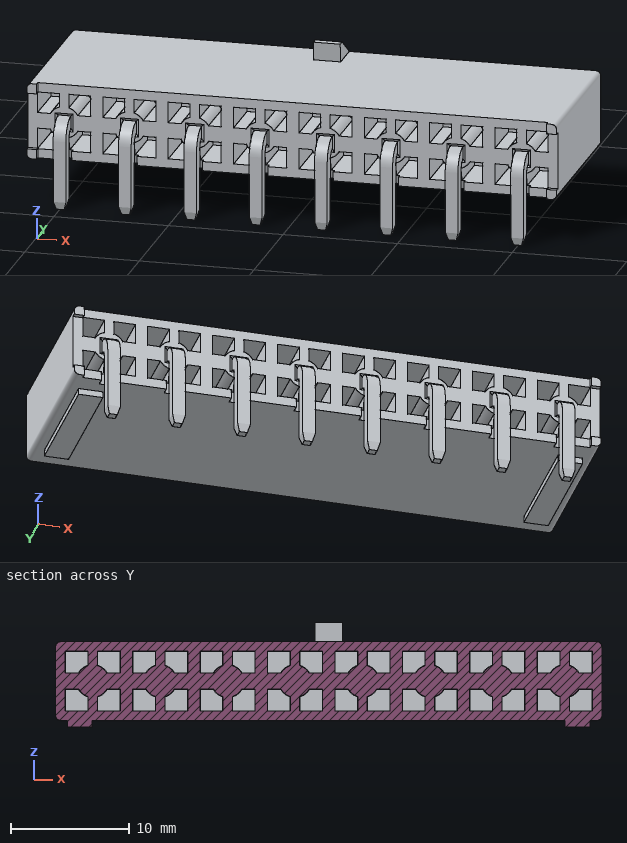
import cadquery as cq


housing_length = 46.25
housing_depth = 14.85
housing_height = 6.7
edge_radius = 0.45
ear_size = 0.9
ear_length = 0.4
wall = 0.85

pin_count = 8
pin_row_span = 39.9
pin_pitch = pin_row_span / (pin_count - 1)
pin_size = 1.1
pin_reach = 16.4
pin_bottom = -4.0
bend_outer_radius = 1.8
tip_length = 0.7
tip_size = 0.7
pin_anchor = 0.92

pocket_span = 4.62
web = 0.85
crossbar = 1.4
pocket_depth = 4.62
boss_radius = 1.4
lead_in_size = 1.55
lead_in_depth = 0.2
notch_width = 1.35
notch_depth = 0.7

latch_width = 2.35
latch_height = 1.6
latch_ramp_run = 2.5
latch_reach = 3.2
latch_undercut = 0.15

pad_inset = 1.0
pad_width = 2.15
pad_height = 0.55
pad_back = 2.1
pad_length = 10.85

pin_face = -housing_depth
mid_height = housing_height / 2
pin_xs = [(i - (pin_count - 1) / 2) * pin_pitch for i in range(pin_count)]


def box(x_min, x_max, y_min, y_max, z_min, z_max):
    size = (x_max - x_min, y_max - y_min, z_max - z_min)
    return cq.Workplane("XY").box(*size, centered=False).translate((x_min, y_min, z_min))


def pin_face_plane():
    """XZ sketch plane on the pin face; negative distances run into the housing."""
    return cq.Workplane("XZ", origin=(0, pin_face, 0))


def make_housing():
    """Round-edged block whose pin face is set back between four corner ears."""
    full_depth = housing_depth + ear_length
    half = housing_length / 2
    block = box(-half, half, -full_depth, 0, 0, housing_height).edges("|Y").fillet(edge_radius)
    across = box(-half, half, -full_depth, pin_face, ear_size, housing_height - ear_size)
    inner = half - ear_size
    between = box(-inner, inner, -full_depth, pin_face, 0, housing_height)
    return block.cut(across).cut(between)


def make_pockets(x):
    """Four core-out pockets left standing around a cross of ribs and a round boss."""
    pocket_back = pin_face + pocket_depth
    pockets = box(x - pocket_span / 2, x + pocket_span / 2, pin_face, pocket_back, wall, housing_height - wall)
    upright = box(x - web / 2, x + web / 2, pin_face, pocket_back, 0, housing_height)
    level = box(
        x - pocket_span / 2, x + pocket_span / 2, pin_face, pocket_back,
        mid_height - crossbar / 2, mid_height + crossbar / 2,
    )
    boss = pin_face_plane().center(x, mid_height).circle(boss_radius).extrude(-pocket_depth)
    return pockets.cut(upright).cut(level).cut(boss)


def make_lead_in(x):
    """Square recess tapering down to the pin."""
    return (
        pin_face_plane().center(x, mid_height).rect(lead_in_size, lead_in_size)
        .workplane(offset=-lead_in_depth).rect(pin_size, pin_size)
        .loft()
    )


def make_notch(x):
    """Wedge of relief below the pin, deepening from the boss down to the underside."""
    boss_bottom = mid_height - boss_radius
    profile = [(pin_face, boss_bottom), (pin_face, 0), (pin_face + notch_depth, 0)]
    return cq.Workplane("YZ", origin=(x - notch_width / 2, 0, 0)).polyline(profile).close().extrude(notch_width)


def make_pin(x):
    """Square pin bent down through a right angle, with a tapered tip."""
    half = pin_size / 2
    outer = -pin_reach
    inner = outer + pin_size
    top = mid_height + half
    anchor = pin_face + lead_in_depth + pin_anchor
    bend_y = outer + bend_outer_radius
    bend_z = top - bend_outer_radius
    bend_inner_radius = bend_outer_radius - pin_size
    tip_top = pin_bottom + tip_length
    shank = (
        cq.Workplane("YZ", origin=(x - half, 0, 0))
        .moveTo(anchor, top)
        .lineTo(bend_y, top)
        .radiusArc((outer, bend_z), -bend_outer_radius)
        .lineTo(outer, tip_top)
        .lineTo(inner, tip_top)
        .lineTo(inner, bend_z)
        .radiusArc((bend_y, top - pin_size), bend_inner_radius)
        .lineTo(anchor, top - pin_size)
        .close()
        .extrude(pin_size)
    )
    tip = (
        cq.Workplane("XY", origin=(x, outer + half, tip_top)).rect(pin_size, pin_size)
        .workplane(offset=-tip_length).rect(tip_size, tip_size)
        .loft()
    )
    return shank.union(tip)


def make_latch():
    """Ramp rising from the mating face, with a slightly undercut catch."""
    latch_top = housing_height + latch_height
    profile = [
        (0, housing_height),
        (-latch_ramp_run, latch_top),
        (-latch_reach, latch_top),
        (-latch_reach + latch_undercut, housing_height),
    ]
    return cq.Workplane("YZ", origin=(-latch_width / 2, 0, 0)).polyline(profile).close().extrude(latch_width)


def make_pad(side):
    """Standoff pad under one end; side is -1 or +1."""
    outer = side * (housing_length / 2 - pad_inset)
    inner = outer - side * pad_width
    return box(min(outer, inner), max(outer, inner), -pad_back - pad_length, -pad_back, -pad_height, 0)


result = make_housing()
for x in pin_xs:
    result = result.cut(make_pockets(x)).cut(make_lead_in(x)).cut(make_notch(x))
for x in pin_xs:
    result = result.union(make_pin(x))
result = result.union(make_latch())
for side in (-1, 1):
    result = result.union(make_pad(side))